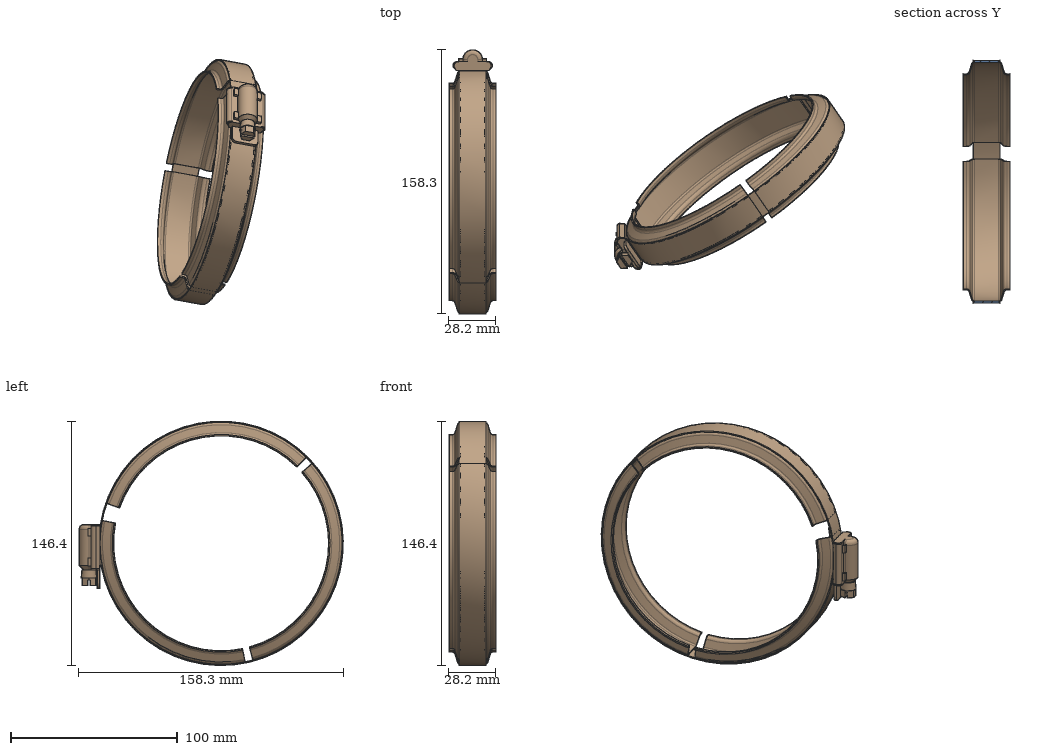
import cadquery as cq
import math


strap_outer_radius = 146.4 / 2
strap_inner_radius = 145.0 / 2
strap_thickness = strap_outer_radius - strap_inner_radius
strap_width = 16.1

sheet_thickness = 0.87
ring_width = 28.2
flange_inner_radius = 128.7 / 2
flange_outer_radius = flange_inner_radius + sheet_thickness
crown_bend_radius = 2.0
foot_bend_radius = 1.6
leg_angle = math.radians(17.5)
flange_length = 1.9
segment_spans = [(19.2, 134.8), (138.7, 254.8), (258.5, 370.9)]

housing_top = 11.2
housing_bottom = -15.8
end_lip = 0.8
base_y = 72.6
base_half_width = 9.8
widest_y = 75.0
widest_half_width = 11.9
shoulder_y = 78.0
shoulder_half_width = 9.8

overall_length = 158.3
dome_radius = 11.9 / 2
screw_axis_y = overall_length - strap_outer_radius - dome_radius
dome_fillet = 2.8
dome_chamfer = 2.5

tab_half_width = 8.4
tab_top_y = 79.8
tab_length = 4.7
tab_centers_z = [6.6, -11.0]

collar_top_radius = 4.3
collar_bottom_radius = 4.7
collar_bottom = -20.7
hex_across_flats = 8.2
head_bottom = -25.3
slot_width = 1.5
slot_depth = 3.3

tongue_bottom = -26.9
tongue_thickness = 1.6
tongue_corner_radius = 2.7
overlap_start = -10.3
overlap_end = 8.0


def ring_sector(profile, start, end):
    """Revolve an XY profile about X from the start angle to the end angle."""
    sector = profile.revolve(end - start, (0, 0, 0), (1, 0, 0))
    return sector.rotate((0, 0, 0), (1, 0, 0), start)


def strap_profile(inner_radius):
    """Rectangular section of one strap layer."""
    middle_radius = inner_radius + strap_thickness / 2
    return cq.Workplane("XY").moveTo(0, middle_radius).rect(strap_width, strap_thickness)


def sheet_profile():
    """Closed V section: outer face from -X to +X, then the inner face back."""
    cos_leg = math.cos(leg_angle)
    sin_leg = math.sin(leg_angle)

    flange_edge = ring_width / 2
    foot_x = flange_edge - flange_length
    foot_y = flange_outer_radius + foot_bend_radius
    crown_y = strap_inner_radius - crown_bend_radius
    leg_reach = (foot_y - crown_y) * sin_leg - foot_bend_radius - crown_bend_radius
    crown_x = foot_x + leg_reach / cos_leg

    def bend_points(center_x, center_y, radius):
        """Flat end, middle and leg end of a bend; a negative radius bends the other way."""
        middle = (leg_angle + math.pi / 2) / 2
        return [
            (center_x, center_y + radius),
            (center_x + radius * math.cos(middle), center_y + radius * math.sin(middle)),
            (center_x + radius * cos_leg, center_y + radius * sin_leg),
        ]

    def half_face(crown_bend, foot_bend):
        """Points of one face from the crown to the flange."""
        return bend_points(crown_x, crown_y, crown_bend) + bend_points(foot_x, foot_y, -foot_bend)[::-1]

    outer = half_face(crown_bend_radius, foot_bend_radius)
    inner = half_face(crown_bend_radius - sheet_thickness, foot_bend_radius + sheet_thickness)

    def mirrored(points):
        return [(-x, y) for x, y in points]

    def add_face(path, points):
        """Continue the path along two bends joined by a straight leg."""
        path = path.lineTo(*points[0]).threePointArc(points[1], points[2])
        return path.lineTo(*points[3]).threePointArc(points[4], points[5])

    profile = cq.Workplane("XY").moveTo(-flange_edge, flange_inner_radius)
    profile = profile.lineTo(-flange_edge, flange_outer_radius)
    profile = add_face(profile, mirrored(outer)[::-1])
    profile = add_face(profile, outer)
    profile = profile.lineTo(flange_edge, flange_outer_radius).lineTo(flange_edge, flange_inner_radius)
    profile = add_face(profile, inner[::-1])
    profile = add_face(profile, mirrored(inner))
    return profile.close()


def housing_section(bottom, inset):
    """Housing outline: sloped lower flanks and rounded upper shoulders."""
    base = base_half_width
    widest = widest_half_width - inset
    shoulder = shoulder_half_width - inset
    corner_x = shoulder + (widest - shoulder) * math.sqrt(0.5)
    corner_y = widest_y + (shoulder_y - widest_y) * math.sqrt(0.5)
    return (
        cq.Workplane("XY", origin=(0, 0, bottom))
        .moveTo(-base, base_y)
        .lineTo(base, base_y)
        .lineTo(widest, widest_y)
        .threePointArc((corner_x, corner_y), (shoulder, shoulder_y))
        .lineTo(-shoulder, shoulder_y)
        .threePointArc((-corner_x, corner_y), (-widest, widest_y))
        .close()
    )


def housing_body():
    """Full outline between two slightly smaller end caps."""
    length = housing_top - housing_bottom
    core = housing_section(housing_bottom, end_lip).extrude(length)
    shell = housing_section(housing_bottom + end_lip, 0).extrude(length - 2 * end_lip)
    return core.union(shell)


def housing_dome():
    """Arched cover over the screw, rounded at its top and chamfered at its bottom."""
    dome = (
        cq.Workplane("XY", origin=(0, 0, housing_bottom))
        .moveTo(-dome_radius, widest_y)
        .lineTo(-dome_radius, screw_axis_y)
        .threePointArc((0, screw_axis_y + dome_radius), (dome_radius, screw_axis_y))
        .lineTo(dome_radius, widest_y)
        .close()
        .extrude(housing_top - housing_bottom)
    )
    dome = dome.edges(">Z").edges("not <Y").fillet(dome_fillet)
    return dome.edges("<Z").edges("not <Y").chamfer(dome_chamfer)


def housing_tabs():
    """Blocks passing under the dome and showing on both sides of it."""
    tab = cq.Workplane("XY").box(2 * tab_half_width, tab_top_y - widest_y, tab_length)
    middle_y = (tab_top_y + widest_y) / 2
    tabs = cq.Workplane("XY")
    for center_z in tab_centers_z:
        tabs = tabs.add(tab.translate((0, middle_y, center_z)))
    return tabs


def screw_head():
    """Slotted hexagon below a flared collar."""
    collar = (
        cq.Workplane("XY", origin=(0, screw_axis_y, housing_bottom))
        .circle(collar_top_radius)
        .workplane(offset=collar_bottom - housing_bottom)
        .circle(collar_bottom_radius)
        .loft()
    )
    hexagon = (
        cq.Workplane("XY", origin=(0, screw_axis_y, head_bottom))
        .polygon(6, hex_across_flats / math.cos(math.pi / 6))
        .extrude(collar_bottom - head_bottom)
    )
    slot = (
        cq.Workplane("XY", origin=(0, screw_axis_y, head_bottom))
        .rect(2 * hex_across_flats, slot_width)
        .extrude(slot_depth)
    )
    return collar.union(hexagon).cut(slot)


def strap_tongue():
    """Flat strap end that runs out below the housing, with rounded corners."""
    length = housing_bottom + end_lip - tongue_bottom
    return (
        cq.Workplane("XY")
        .box(strap_width, tongue_thickness, length, centered=(True, False, False))
        .edges("|Y and <Z")
        .fillet(tongue_corner_radius)
        .translate((0, base_y, tongue_bottom))
    )


result = strap_profile(strap_inner_radius).revolve(360, (0, 0, 0), (1, 0, 0))
for span_start, span_end in segment_spans:
    result = result.union(ring_sector(sheet_profile(), span_start, span_end))
result = result.union(ring_sector(strap_profile(strap_outer_radius), overlap_start, overlap_end))
for piece in (housing_body(), housing_dome(), housing_tabs(), screw_head(), strap_tongue()):
    result = result.union(piece)